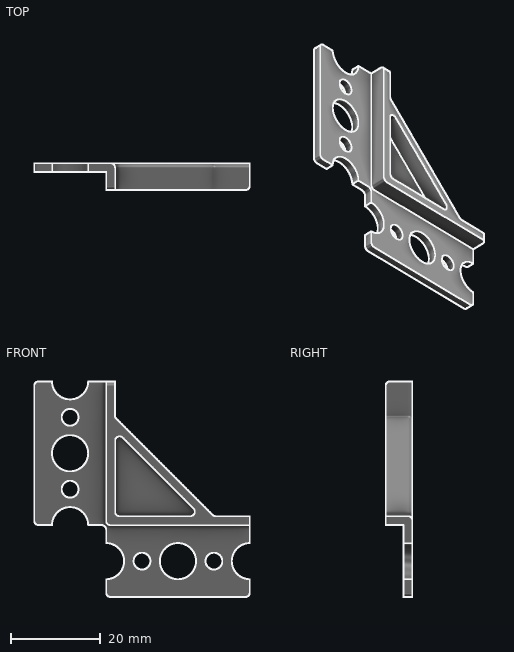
import cadquery as cq
import math

size = 48.0
pitch = size / 6
small_hole_diameter = 3.7

arm_width = 2 * pitch
large_hole_diameter = pitch
wall = pitch / 4
depth = 3 * wall
edge_radius = pitch / 8
inner = arm_width + wall
gusset_end = size - pitch


def extrude_outline(points, y_front, y_back):
    """Extrude an XZ outline between two Y positions."""
    return (
        cq.Workplane("XZ", origin=(0, y_back, 0))
        .polyline(points)
        .close()
        .extrude(y_back - y_front)
    )


def round_corners(body, corners):
    """Round the Y-parallel edges that stand at the given XZ corners."""
    reach = edge_radius / 4
    for x, z in corners:
        low_corner = (x - reach, -depth, z - reach)
        high_corner = (x + reach, 2 * depth, z + reach)
        box = cq.selectors.BoxSelector(low_corner, high_corner)
        body = body.edges("|Y").edges(box).fillet(edge_radius)
    return body


slope_corners = [(gusset_end, inner), (inner, gusset_end)]
plate_outline = [
    (0, arm_width),
    (arm_width, arm_width),
    (arm_width, 0),
    (size, 0),
    (size, inner),
    *slope_corners,
    (inner, size),
    (0, size),
]
plate = extrude_outline(plate_outline, depth - wall, depth)
plate_corners = [(0, arm_width), (arm_width, arm_width), (arm_width, 0), (size, 0), (0, size)]
plate = round_corners(plate, plate_corners + slope_corners)

flange_outline = [
    (arm_width, arm_width),
    (size, arm_width),
    (size, inner),
    *slope_corners,
    (inner, size),
    (arm_width, size),
]
flange = extrude_outline(flange_outline, 0, depth)
flange = round_corners(flange, [(arm_width, arm_width)] + slope_corners)
flange = flange.faces(">X").edges("<Y").fillet(edge_radius)
flange = flange.faces(">Z").edges("<Y").fillet(edge_radius)

body = plate.union(flange).clean()

back_edge_start = cq.selectors.NearestToPointSelector((inner, depth, (gusset_end + size) / 2))
body = body.faces(">Y").edges(back_edge_start).fillet(edge_radius)

pocket_leg = gusset_end - inner - wall * math.sqrt(2)
pocket_outline = [(inner, inner), (inner + pocket_leg, inner), (inner, inner + pocket_leg)]
pocket = extrude_outline(pocket_outline, 0, depth - wall).edges("|Y").fillet(edge_radius)
body = body.cut(pocket)


def drill(body, centers, diameter):
    """Cut through holes along Y at the given XZ centers."""
    for x, z in centers:
        hole = cq.Workplane("XZ", origin=(x, depth, z)).circle(diameter / 2).extrude(depth)
        body = body.cut(hole)
    return body


def on_both_arms(positions):
    """Points on the center line of each arm, at distances along the arm."""
    upright = [(arm_width / 2, position) for position in positions]
    level = [(position, arm_width / 2) for position in positions]
    return upright + level


def drill_arms(body):
    """Large holes at the middle and both ends of each arm, small ones between."""
    arm_middle = (arm_width + size) / 2
    large = [arm_width, arm_middle, size]
    small = [arm_middle - pitch, arm_middle + pitch]
    body = drill(body, on_both_arms(large), large_hole_diameter)
    return drill(body, on_both_arms(small), small_hole_diameter)


result = drill_arms(body)